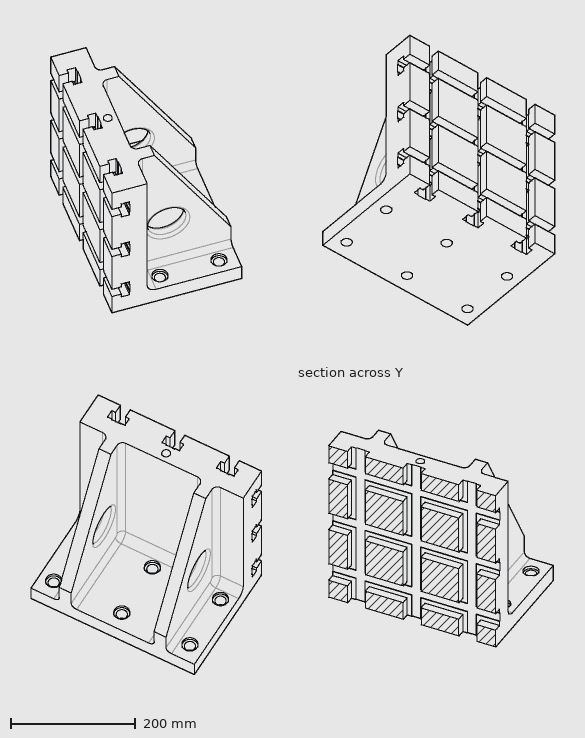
import cadquery as cq
import math


width = 300.0
depth = 220.0
height = 300.0

wall_thickness = 60.0
base_thickness = 30.0
rib_thickness = 22.0
rib_offset = 87.0
rib_top_depth = 90.0
rib_toe_height = 70.0

rib_fillet = 10.0
wall_fillet = 15.0

slot_pitch = 100.0
slot_positions = (-slot_pitch, 0.0, slot_pitch)
neck_width = 18.0
head_width = 32.0
head_start = 16.0
head_end = 30.0
relief_width = 16.0
relief_depth = 1.0

window_diameter = 65.0
window_y = 112.5
window_z = 122.5
window_round = 5.0

bolt_diameter = 18.0
bolt_columns_x = (-125.0, 0.0, 125.0)
bolt_rows_y = (90.0, 190.0)
counterbore_diameter = 26.0
counterbore_depth = 5.0

lifting_diameter = 14.0
lifting_y = 45.0
lifting_depth = 30.0
drill_point_angle = 118.0


def box(x_min, x_max, y_min, y_max, z_min, z_max):
    """Axis-aligned block between two opposite corners."""
    block = cq.Workplane("XY").box(x_max - x_min, y_max - y_min, z_max - z_min, centered=False)
    return block.translate((x_min, y_min, z_min))


def make_envelope():
    """Side profile of the ribs, wall and base, extruded over the full width."""
    profile = [
        (0, 0),
        (depth, 0),
        (depth, rib_toe_height),
        (rib_top_depth, height),
        (0, height),
    ]
    return cq.Workplane("YZ").polyline(profile).close().extrude(width / 2, both=True)


def make_bay(x_min, x_max, left_rib, right_rib):
    """Open space behind the wall and above the base, rounded where it meets them and the ribs."""
    clearance = 2 * wall_fillet
    bay = box(x_min, x_max, wall_thickness, depth + clearance, base_thickness, height + clearance)
    bay = bay.edges("<Y and <Z").fillet(wall_fillet)
    if left_rib:
        bay = round_bay_side(bay, "<X")
    if right_rib:
        bay = round_bay_side(bay, ">X")
    return bay


def round_bay_side(bay, side):
    """Round the edges where one rib-side face of a bay meets the wall and the base."""
    return bay.faces(side).edges("not(>Y or >Z)").fillet(rib_fillet)


def cut_bays(body):
    """Open the three bays beside and between the ribs."""
    rib_inner = rib_offset - rib_thickness / 2
    rib_outer = rib_offset + rib_thickness / 2
    side_edge = width / 2
    body = body.cut(make_bay(-side_edge, -rib_outer, False, True))
    body = body.cut(make_bay(-rib_inner, rib_inner, True, True))
    return body.cut(make_bay(rib_outer, side_edge, True, False))


def make_slot():
    """T-slot running along Z through the full height, centred on X = 0."""
    neck = box(-neck_width / 2, neck_width / 2, 0, head_end, 0, height)
    head = box(-head_width / 2, head_width / 2, head_start, head_end, 0, height)
    relief = box(-relief_width / 2, relief_width / 2, head_start, head_end + relief_depth, 0, height)
    return neck.union(head).union(relief)


def cut_slots(body):
    """Cut crossing rows of vertical and horizontal T-slots into the front face."""
    middle = (0, 0, height / 2)
    middle_behind = (0, 1, height / 2)
    upright = make_slot()
    level = upright.rotate(middle, middle_behind, 90)
    for position in slot_positions:
        body = body.cut(upright.translate((position, 0, 0)))
        body = body.cut(level.translate((0, 0, position)))
    return body


def cut_rib_windows(body):
    """Bore a round window through each rib and round its rim on both sides."""
    bore_radius = window_diameter / 2
    half_rib = rib_thickness / 2
    rim_radius = bore_radius + window_round
    straight_half = half_rib - window_round
    arc_inset = window_round * (1 - math.cos(math.radians(45)))
    cutter = (
        cq.Workplane("XY")
        .moveTo(-half_rib, 0)
        .lineTo(-half_rib, rim_radius)
        .threePointArc((-half_rib + arc_inset, bore_radius + arc_inset), (-straight_half, bore_radius))
        .lineTo(straight_half, bore_radius)
        .threePointArc((half_rib - arc_inset, bore_radius + arc_inset), (half_rib, rim_radius))
        .lineTo(half_rib, 0)
        .close()
        .revolve(360, (0, 0, 0), (1, 0, 0))
    )
    for rib_x in (-rib_offset, rib_offset):
        body = body.cut(cutter.translate((rib_x, window_y, window_z)))
    return body


def drill_bolt_holes(body):
    """Counterbored through holes in the base."""
    centres = [(x, y) for x in bolt_columns_x for y in bolt_rows_y]
    return (
        body.copyWorkplane(cq.Workplane("XY", origin=(0, 0, base_thickness)))
        .pushPoints(centres)
        .cboreHole(bolt_diameter, counterbore_diameter, counterbore_depth, base_thickness)
    )


def drill_lifting_hole(body):
    """Blind hole with a conical bottom, drilled down into the top of the wall."""
    radius = lifting_diameter / 2
    point_depth = radius / math.tan(math.radians(drill_point_angle / 2))
    drill = (
        cq.Workplane("XZ")
        .polyline([
            (0, height),
            (radius, height),
            (radius, height - lifting_depth),
            (0, height - lifting_depth - point_depth),
        ])
        .close()
        .revolve(360, (0, 0, 0), (0, 1, 0))
    )
    return body.cut(drill.translate((0, lifting_y, 0)))


result = make_envelope()
result = cut_bays(result)
result = cut_slots(result)
result = cut_rib_windows(result)
result = drill_bolt_holes(result)
result = drill_lifting_hole(result)